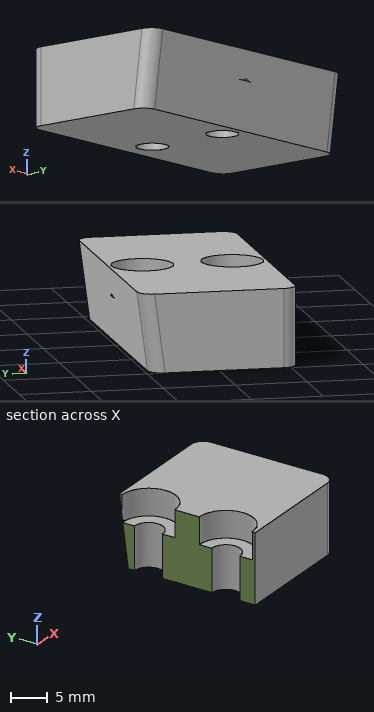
import cadquery as cq
import math

length = 40.0
width = 22.0
height = 11.0
corner_radius = 2.0
back_slope_degrees = 7.5

hole_diameter = 4.5
counterbore_diameter = 8.5
counterbore_depth = 4.2
hole_spacing = 12.5


def make_block():
    """Block whose +Y side leans inward toward the bottom, with rounded upright edges."""
    back_inset = height * math.tan(math.radians(back_slope_degrees))
    profile = [
        (-width / 2, 0),
        (width / 2 - back_inset, 0),
        (width / 2, height),
        (-width / 2, height),
    ]
    block = cq.Workplane("YZ").polyline(profile).close().extrude(length / 2, both=True)
    upright_edges = block.faces("<X or >X").edges("not |Y")
    return upright_edges.fillet(corner_radius)


def cut_screw_holes(block):
    """Through holes with counterbores sunk from the top face."""
    return (
        block.faces(">Z")
        .workplane(origin=(0, 0, height))
        .pushPoints([(0, -hole_spacing / 2), (0, hole_spacing / 2)])
        .cboreHole(hole_diameter, counterbore_diameter, counterbore_depth)
    )


result = cut_screw_holes(make_block())